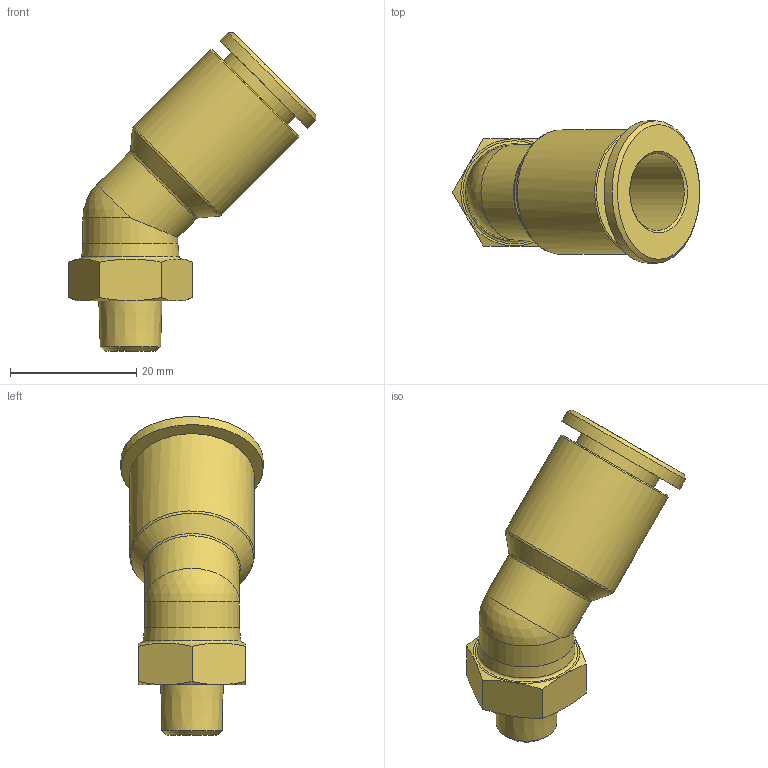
import cadquery as cq
import math

BEND_ANGLE = 45.0
ELBOW_HEIGHT = 21.1

STEM_LENGTH = 8.0
STEM_TOP_RADIUS = 5.0
STEM_TAPER = 1 / 32
STEM_CHAMFER_HEIGHT = 0.75
STEM_END_RADIUS = 3.95

HEX_FLATS = 17.0
HEX_HEIGHT = 6.6
HEX_CORNER_DROP = 0.5
HEX_CHAMFER_RADIUS = 8.48

PIPE_RADIUS = 7.5
FOOT_RADIUS = 7.7
FLARE_START = 17.05
FOOT_FILLET = 0.45

SOCKET_RADIUS = 9.85
CONE_START = 7.5
CONE_END = 10.3
SOCKET_END = 28.0
SOCKET_SHOULDER_FILLET = 0.6
CONE_ROOT_FILLET = 0.6
SOCKET_RIM_CHAMFER = 0.2

NECK_RADIUS = 7.15
FLANGE_BACK = 29.85
FLANGE_FRONT = 32.25
FLANGE_HALF_WIDTH = 11.25
FLANGE_HALF_HEIGHT = 9.8
FLANGE_CHAMFER = 0.6

BORE_RADIUS = 6.1
BORE_CHAMFER = 0.35
BORE_BOTTOM = CONE_END

hex_bottom = STEM_LENGTH
hex_top = hex_bottom + HEX_HEIGHT
hex_corner_radius = HEX_FLATS / math.sqrt(3)


def revolve_profile(points):
    """Turn a closed (radius, height) outline about Z."""
    return cq.Workplane("XZ").polyline(points).close().revolve(360, (0, 0), (0, 1))


def tilt(shape):
    """Carry a shape built along Z from the origin onto the socket axis."""
    return shape.rotate((0, 0, 0), (0, 1, 0), BEND_ANGLE).translate((0, 0, ELBOW_HEIGHT))


def make_stem():
    shoulder_radius = STEM_TOP_RADIUS - STEM_TAPER * (STEM_LENGTH - STEM_CHAMFER_HEIGHT)
    return revolve_profile([
        (0, 0),
        (STEM_END_RADIUS, 0),
        (shoulder_radius, STEM_CHAMFER_HEIGHT),
        (STEM_TOP_RADIUS, STEM_LENGTH),
        (0, STEM_LENGTH),
    ])


def make_hexagon():
    prism = (
        cq.Workplane("XY", origin=(0, 0, hex_bottom))
        .polygon(6, 2 * hex_corner_radius)
        .extrude(HEX_HEIGHT)
    )
    chamfer_envelope = revolve_profile([
        (0, hex_bottom),
        (HEX_CHAMFER_RADIUS, hex_bottom),
        (hex_corner_radius, hex_bottom + HEX_CORNER_DROP),
        (hex_corner_radius, hex_top - HEX_CORNER_DROP),
        (HEX_CHAMFER_RADIUS, hex_top),
        (0, hex_top),
    ])
    return prism.intersect(chamfer_envelope)


def make_elbow():
    """Upright pipe with a flared foot, closed by a ball at the bend."""
    flare_end = hex_top + FOOT_FILLET
    upright = (
        cq.Workplane("XZ")
        .moveTo(0, hex_top)
        .lineTo(FOOT_RADIUS + FOOT_FILLET, hex_top)
        .radiusArc((FOOT_RADIUS, flare_end), FOOT_FILLET)
        .lineTo(PIPE_RADIUS, FLARE_START)
        .lineTo(PIPE_RADIUS, ELBOW_HEIGHT)
        .lineTo(0, ELBOW_HEIGHT)
        .close()
        .revolve(360, (0, 0), (0, 1))
    )
    ball = cq.Workplane("XY").sphere(PIPE_RADIUS).translate((0, 0, ELBOW_HEIGHT))
    return upright.union(ball)


def make_socket():
    socket = revolve_profile([
        (0, 0),
        (PIPE_RADIUS, 0),
        (PIPE_RADIUS, CONE_START),
        (SOCKET_RADIUS, CONE_END),
        (SOCKET_RADIUS, SOCKET_END),
        (0, SOCKET_END),
    ])
    socket = socket.edges("%CIRCLE").edges(">>Z[-3]").fillet(CONE_ROOT_FILLET)
    socket = socket.edges("%CIRCLE").edges(">>Z[-2]").fillet(SOCKET_SHOULDER_FILLET)
    return socket.faces(">Z").edges().chamfer(SOCKET_RIM_CHAMFER)


def make_sleeve():
    neck = (
        cq.Workplane("XY", origin=(0, 0, SOCKET_END))
        .circle(NECK_RADIUS)
        .extrude(FLANGE_BACK - SOCKET_END)
    )
    flange = (
        cq.Workplane("XY", origin=(0, 0, FLANGE_BACK))
        .ellipse(FLANGE_HALF_HEIGHT, FLANGE_HALF_WIDTH)
        .extrude(FLANGE_FRONT - FLANGE_BACK)
        .faces(">Z")
        .edges()
        .chamfer(FLANGE_CHAMFER)
    )
    return neck.union(flange)


def make_bore():
    """Blind tube bore with a chamfered mouth."""
    return revolve_profile([
        (0, BORE_BOTTOM),
        (BORE_RADIUS, BORE_BOTTOM),
        (BORE_RADIUS, FLANGE_FRONT - BORE_CHAMFER),
        (BORE_RADIUS + BORE_CHAMFER, FLANGE_FRONT),
        (0, FLANGE_FRONT),
    ])


socket_side = make_socket().union(make_sleeve()).cut(make_bore())
result = make_stem().union(make_hexagon()).union(make_elbow()).union(tilt(socket_side))